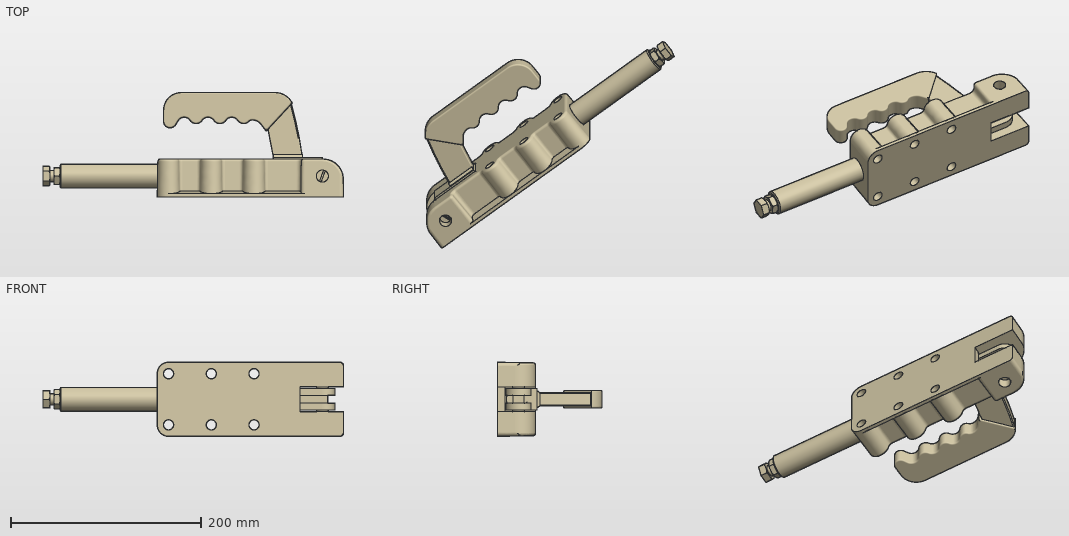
import math

import cadquery as cq

overall_length = 316.2
overshoot = 3.2

housing_length = 196.0
housing_width = 78.0
housing_depth = 40.0
plate_thickness = 3.8
draft_angle = 1.0
front_corner_radius = 12.0
rear_corner_radius = 4.0
rear_round_radius = 21.5
back_edge_fillet = 3.0
half_width = housing_width / 2

boss_count = 3
boss_radius = front_corner_radius
boss_height = half_width - boss_radius
boss_pitch = 45.0
boss_centers = [boss_radius + i * boss_pitch for i in range(boss_count)]
boss_root_radius = 3.2
scallop_end = 155.0
scallop_end_radius = 4.0
lip_rise = 3.0
mount_hole_diameter = 10.5
mount_hole_offset = 27.0

axis_height = 22.0
rod_radius = 12.5
rod_front = -102.0
rod_end = 117.0
rod_chamfer = 1.3
bolt_front = housing_length - overall_length
bolt_head_length = 7.5
bolt_radius = 6.0
bolt_depth = 19.0
nut_length = 6.3
hex_flats = 18.0
hex_corner_radius = hex_flats / 2 / math.cos(math.pi / 6)
hex_chamfer = 1.0

pivot_x = 173.5
pivot_radius = 6.3
pivot_inner_end = 4.0
pivot_outer_end = 26.2
driver_slot_width = 2.0
driver_slot_depth = 2.5
driver_slot_angle = 70
slot_half_width = 13.0
slot_front = 150.2
cavity_front = 120.5
cavity_floor = 8.0

link_half_width = pivot_inner_end
link_bottom = axis_height - 5.7
link_top = axis_height + 5.7
link_front = 95.0
link_end = pivot_x + 5.7

grip_half_width = 9.33
grip_edge_fillet = 1.5
grip_front = 6.5
grip_top = 110.0
grip_front_radius = 19.0
grip_nose_radius = 7.0
grip_nose_height = 79.7
grip_rear_start = 123.5
groove_count = 3
groove_pitch = 25.0
first_groove_x = 28.5
groove_top = 83.8
finger_bottom = 77.0
last_groove = (100.5, 81.0)
last_groove_mid = (105.3, 79.7)
last_groove_end = (109.0, 76.5)
joint_low = (114.5, 69.2)
joint_high = (142.0, 99.0)

cheek_half_width = 11.5
cheek_radius = 13.3
lever_front = 121.7
lever_top = 41.7
arm_half_width = 7.1
arm_front_foot = (122.0, lever_top)
arm_rear_foot = (152.7, lever_top)
arm_rear_mid = (146.0, 78.5)
arm_joint_start = 0.07
arm_joint_end = 0.97
arm_edge_fillet = 1.3
arm_foot_width = 2.0
arm_foot_rise = 3.0


def box_between(x_range, y_range, z_reach):
    """Box spanning the X and Y ranges, symmetric about the middle plane."""
    (x0, x1), (y0, y1) = x_range, y_range
    return (
        cq.Workplane("XY", origin=(x0, y0, -z_reach))
        .box(x1 - x0, y1 - y0, 2 * z_reach, centered=False)
    )


def cylinder_along_x(x_start, x_end, radius):
    """Cylinder on the plunger axis."""
    return (
        cq.Workplane("YZ", origin=(x_start, axis_height, 0))
        .circle(radius)
        .extrude(x_end - x_start)
    )


def cylinder_along_y(x, z, radius, y_start, y_end):
    """Cylinder square to the mounting face."""
    return cq.Workplane("XZ", origin=(x, y_start, z)).circle(radius).extrude(y_start - y_end)


def pivot_cylinder(z_start, z_end):
    """Cylinder on the lever's pivot axis."""
    return (
        cq.Workplane("XY", origin=(pivot_x, axis_height, z_start))
        .circle(pivot_radius)
        .extrude(z_end - z_start)
    )


def chamfered_hexagon(x_start, length, corner_angle, chamfered_ends):
    """Hexagonal prism on the plunger axis; at angle 0 two of its corners point along Y."""
    prism = (
        cq.Workplane("YZ", origin=(x_start, axis_height, 0))
        .transformed(rotate=(0, 0, corner_angle))
        .polygon(6, 2 * hex_corner_radius)
        .extrude(length)
    )
    corner_trim = cylinder_along_x(x_start, x_start + length, hex_corner_radius)
    return prism.intersect(corner_trim.faces(chamfered_ends).chamfer(hex_chamfer))



def drafted(prism, depth):
    """The same prism, narrowing from the mounting face backwards."""
    base = prism.faces("<Y").wires().toPending().workplane(invert=True)
    return base.extrude(depth, combine=False, taper=draft_angle)


def outer_prism(depth):
    """Drafted prism of the housing's outline, from the mounting face to the given depth."""
    prism = box_between((0, housing_length), (0, depth), half_width)
    prism = prism.edges("|Y and <X").fillet(front_corner_radius)
    prism = prism.edges("|Y and >X").fillet(rear_corner_radius)
    return drafted(prism, depth)


def fillet_depth_edge(block, x, z, radius):
    """Round the edge that runs along Y at the given X and Z."""
    reach = 0.3
    mid_depth = housing_depth / 2
    near_edge = cq.selectors.BoxSelector(
        (x - reach, mid_depth - reach, z - reach),
        (x + reach, mid_depth + reach, z + reach),
    )
    return block.edges(near_edge).fillet(radius)


def scalloped_block():
    """Housing body: round bosses on flat side floors, then the full-width rear end."""
    rear_wall = scallop_end - scallop_end_radius
    block = box_between((0, housing_length), (0, housing_depth), boss_height)
    block = block.union(box_between((rear_wall, housing_length), (0, housing_depth), half_width))
    for side in (-1, 1):
        for center in boss_centers:
            block = block.union(
                cylinder_along_y(center, side * boss_height, boss_radius, 0, housing_depth)
            )
    block = block.clean()

    boss_roots = [center + flank * boss_radius for center in boss_centers for flank in (-1, 1)][1:]
    for side in (-1, 1):
        for x in boss_roots:
            block = fillet_depth_edge(block, x, side * boss_height, boss_root_radius)
        for z in (boss_height, half_width):
            block = fillet_depth_edge(block, rear_wall, side * z, scallop_end_radius)

    block = drafted(block, housing_depth)
    block = block.faces(">Y").edges(">X").fillet(rear_round_radius)
    block = block.faces(">Y").edges("not >X").fillet(back_edge_fillet)
    return block.intersect(outer_prism(housing_depth))


def side_lip(side):
    """Sloping step from the mounting plate's edge down to the side floor."""
    buried = boss_height - lip_rise
    lip_edge = half_width - plate_thickness * math.tan(math.radians(draft_angle))
    return (
        cq.Workplane("YZ", origin=(front_corner_radius, 0, 0))
        .polyline([
            (plate_thickness, side * buried),
            (plate_thickness, side * lip_edge),
            (plate_thickness + lip_rise, side * boss_height),
            (plate_thickness + lip_rise, side * buried),
        ])
        .close()
        .extrude(scallop_end - front_corner_radius)
    )


def make_housing():
    housing = scalloped_block().union(outer_prism(plate_thickness))
    for side in (-1, 1):
        housing = housing.union(side_lip(side))

    rear = housing_length + overshoot
    back = housing_depth + overshoot
    housing = housing.cut(box_between((cavity_front, rear), (cavity_floor, back), slot_half_width))
    housing = housing.cut(box_between((slot_front, rear), (-overshoot, cavity_floor), slot_half_width))

    housing = housing.cut(cylinder_along_x(-overshoot, cavity_front + overshoot, rod_radius))
    housing = housing.cut(pivot_cylinder(-housing_width, housing_width))

    for center in boss_centers:
        for side in (-1, 1):
            z = side * mount_hole_offset
            housing = housing.cut(
                cylinder_along_y(center, z, mount_hole_diameter / 2, -overshoot, back)
            )
    return housing



def make_link():
    """Flat link that joins the rod to the gap between the lever's cheeks."""
    return box_between((link_front, link_end), (link_bottom, link_top), link_half_width)


def make_rod():
    """Plunger rod with a bolt hole at the front and a slot for the link at the rear."""
    rod = cylinder_along_x(rod_front, rod_end, rod_radius).faces("<X").chamfer(rod_chamfer)
    bolt_hole = cylinder_along_x(rod_front, rod_front + bolt_depth, bolt_radius)
    return rod.cut(bolt_hole).cut(make_link())


def make_bolt():
    head = chamfered_hexagon(bolt_front, bolt_head_length, 0, ">X")
    shank = cylinder_along_x(bolt_front + bolt_head_length, rod_front + bolt_depth, bolt_radius)
    return head.union(shank)


def make_nut():
    """Lock nut against the end of the rod."""
    nut_front = rod_front - nut_length
    nut = chamfered_hexagon(nut_front, nut_length, 30, "|X")
    return nut.cut(cylinder_along_x(nut_front, rod_front, bolt_radius))



def make_pivot(side):
    """Pivot screw that holds one cheek of the lever, with a driver slot in its outer end."""
    driver_slot = (
        cq.Workplane("XY")
        .box(3 * pivot_radius, driver_slot_width, 2 * driver_slot_depth)
        .rotate((0, 0, 0), (0, 0, 1), driver_slot_angle)
        .translate((pivot_x, axis_height, pivot_outer_end))
    )
    screw = pivot_cylinder(pivot_inner_end, pivot_outer_end).cut(driver_slot)
    return screw if side > 0 else screw.mirror("XY")


def joint_point(fraction):
    """Point on the line where the grip meets the lever arm."""
    return tuple(low + fraction * (high - low) for low, high in zip(joint_low, joint_high))


def lever_arm():
    """Slanted arm with rounded long edges and a sloping foot along both sides."""
    arm = (
        cq.Workplane("XY", origin=(0, 0, -arm_half_width))
        .moveTo(*arm_front_foot)
        .lineTo(*joint_point(arm_joint_start))
        .lineTo(*joint_point(arm_joint_end))
        .threePointArc(arm_rear_mid, arm_rear_foot)
        .close()
        .extrude(2 * arm_half_width)
    )
    long_edges = cq.selectors.BoxSelector(
        (grip_front, lever_top + arm_foot_rise, -cheek_half_width),
        (pivot_x, arm_rear_mid[1], cheek_half_width),
    )
    arm = arm.faces("|Z").edges(long_edges).fillet(arm_edge_fillet)
    foot = (
        cq.Workplane("YZ", origin=(arm_front_foot[0], 0, 0))
        .polyline([
            (lever_top, -arm_half_width - arm_foot_width),
            (lever_top, arm_half_width + arm_foot_width),
            (lever_top + arm_foot_rise, arm_half_width),
            (lever_top + arm_foot_rise, -arm_half_width),
        ])
        .close()
        .extrude(arm_rear_foot[0] - arm_front_foot[0])
    )
    return arm.union(foot)


def make_lever():
    """Lever arm on a base whose two cheeks turn on the pivot screws."""
    cheek_bottom = axis_height - cheek_radius
    base = (
        cq.Workplane("XY", origin=(0, 0, -cheek_half_width))
        .moveTo(lever_front, cheek_bottom)
        .lineTo(pivot_x, cheek_bottom)
        .threePointArc((pivot_x + cheek_radius, axis_height), (pivot_x, axis_height + cheek_radius))
        .lineTo(pivot_x, lever_top)
        .lineTo(lever_front, lever_top)
        .close()
        .extrude(2 * cheek_half_width)
    )
    lever = base.union(lever_arm())

    lever = lever.cut(box_between((lever_front, pivot_x), (0, link_top), link_half_width))
    lever = lever.cut(box_between((pivot_x, housing_length), (0, lever_top), link_half_width))
    for side in (-1, 1):
        lever = lever.cut(pivot_cylinder(side * pivot_inner_end, side * cheek_half_width))
    return lever


def make_grip():
    """Grip with finger grooves along its lower edge, closed by a slanted joint face."""
    quarter_pitch = groove_pitch / 4
    mid_height = (groove_top + finger_bottom) / 2
    slope_angle = 2 * math.atan((groove_top - finger_bottom) / (2 * quarter_pitch))
    nose_x = grip_front + grip_nose_radius
    groove_xs = [first_groove_x + i * groove_pitch for i in range(groove_count)]
    last_finger_x = groove_xs[-1] + 2 * quarter_pitch
    last_finger_rise = (
        (last_finger_x + last_groove[0]) / 2,
        (finger_bottom + last_groove[1]) / 2,
    )

    outline = (
        cq.Workplane("XY", origin=(0, 0, -grip_half_width))
        .moveTo(grip_front, grip_nose_height)
        .lineTo(grip_front, grip_top - grip_front_radius)
        .radiusArc((grip_front + grip_front_radius, grip_top), grip_front_radius)
        .lineTo(grip_rear_start, grip_top)
        .tangentArcPoint(joint_high, relative=False)
        .lineTo(*joint_low)
        .lineTo(*last_groove_end)
        .threePointArc(last_groove_mid, last_groove)
        .tangentArcPoint(last_finger_rise, relative=False)
        .tangentArcPoint((last_finger_x, finger_bottom), relative=False)
        .tangentArcPoint((groove_xs[-1] + quarter_pitch, mid_height), relative=False)
    )

    for groove_x in reversed(groove_xs):
        outline = outline.threePointArc((groove_x, groove_top), (groove_x - quarter_pitch, mid_height))
        if groove_x != groove_xs[0]:
            outline = outline.threePointArc(
                (groove_x - 2 * quarter_pitch, finger_bottom),
                (groove_x - 3 * quarter_pitch, mid_height),
            )

    nose_end = (
        nose_x + grip_nose_radius * math.sin(slope_angle),
        grip_nose_height - grip_nose_radius * math.cos(slope_angle),
    )
    outline = (
        outline.lineTo(*nose_end)
        .threePointArc((nose_x, grip_nose_height - grip_nose_radius), (grip_front, grip_nose_height))
        .close()
    )
    return outline.extrude(2 * grip_half_width).faces("|Z").edges().fillet(grip_edge_fillet)



housing = make_housing()
rod = make_rod()
bolt = make_bolt()
nut = make_nut()
link = make_link()
lever = make_lever()
grip = make_grip()
pivots = [make_pivot(side) for side in (-1, 1)]

bodies = [housing, rod, bolt, nut, link, lever, grip, *pivots]
result = cq.Compound.makeCompound([body.solids().val() for body in bodies])